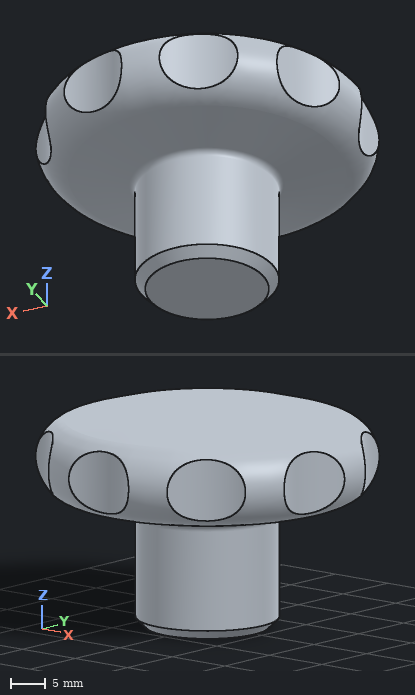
import cadquery as cq
import math

stem_radius = 10.5
chamfer = 1.5
neck_fillet = 1.0

height = 33.85
head_radius = 25.0
rim_radius = 6.0
rim_height = 24.95
dome_edge_radius = 20.8
cone_angle = math.radians(12)

grip_count = 9
grip_radius = 12.0
grip_center_radius = 34.9
first_grip_angle = -90

rim_center = head_radius - rim_radius


def rim_point(angle):
    """Point on the rim arc at an angle above the horizontal."""
    return (rim_center + rim_radius * math.cos(angle), rim_height + rim_radius * math.sin(angle))


def make_body():
    """Revolve the half section of stem and head about Z."""
    cone_edge = rim_point(cone_angle - math.pi / 2)
    dome_edge = rim_point(math.acos((dome_edge_radius - rim_center) / rim_radius))

    neck_center_x = stem_radius + neck_fillet
    cone_slope = math.tan(cone_angle)
    cone_z_at_center = cone_edge[1] - cone_slope * (cone_edge[0] - neck_center_x)
    neck_center_z = cone_z_at_center - neck_fillet / math.cos(cone_angle)

    def neck_point(angle):
        return (neck_center_x + neck_fillet * math.cos(angle), neck_center_z + neck_fillet * math.sin(angle))

    neck_end_angle = math.pi / 2 + cone_angle
    neck_mid_angle = (math.pi + neck_end_angle) / 2

    dome_rise = height - dome_edge[1]
    dome_radius = (dome_edge_radius**2 + dome_rise**2) / (2 * dome_rise)
    dome_mid_x = dome_edge_radius / 2
    dome_mid_z = height - dome_radius + math.sqrt(dome_radius**2 - dome_mid_x**2)

    return (
        cq.Workplane("XZ")
        .lineTo(stem_radius - chamfer, 0)
        .lineTo(stem_radius, chamfer)
        .lineTo(*neck_point(math.pi))
        .threePointArc(neck_point(neck_mid_angle), neck_point(neck_end_angle))
        .lineTo(*cone_edge)
        .threePointArc(rim_point(0), dome_edge)
        .threePointArc((dome_mid_x, dome_mid_z), (0, height))
        .close()
        .revolve(360, (0, 0, 0), (0, 1, 0))
    )


def make_grips():
    """Vertical cylinders that scallop the rim."""
    return (
        cq.Workplane("XY")
        .polarArray(grip_center_radius, first_grip_angle, 360, grip_count)
        .circle(grip_radius)
        .extrude(height)
    )


result = make_body().cut(make_grips())